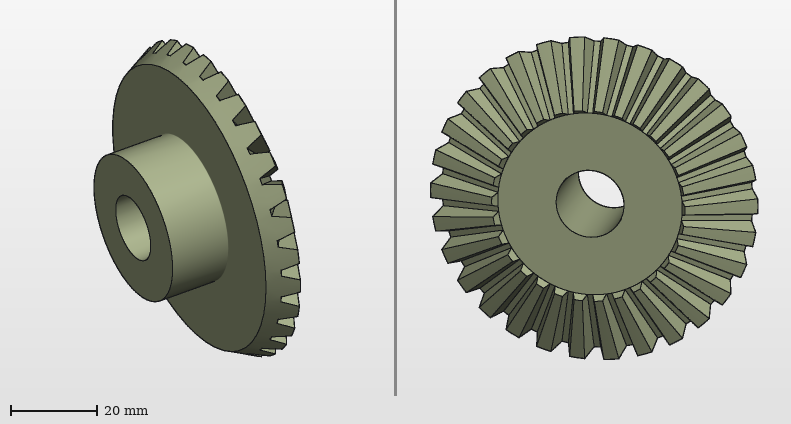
import cadquery as cq

tooth_count = 30
back_slope = 0.5

tip_radius = 38.65
tip_height = 7.2
root_height = 3.25
gap_floor_width = 1.55
gap_mouth_width = 4.55

small_tip_radius = 22.8
small_tip_height = 14.45
small_root_height = 12.4
small_gap_floor_width = 1.2

hub_radius = 18.0
hub_length = 15.1
hub_fillet = 0.15
bore_diameter = 16.0

gap_overrun = 0.2
gap_overshoot = 0.3

back_radius = tip_radius - back_slope * tip_height
root_radius = tip_radius - back_slope * (tip_height - root_height)
small_root_radius = small_tip_radius - back_slope * (small_tip_height - small_root_height)

depth_ratio = (small_tip_height - small_root_height) / (tip_height - root_height)
small_gap_mouth_width = small_gap_floor_width + depth_ratio * (gap_mouth_width - gap_floor_width)
pitch_angle = 360 / tooth_count


def blend(start, end, share):
    """Value a given share of the way from start to end; shares beyond 0 to 1 extrapolate."""
    return start + share * (end - start)


def make_blank():
    """Revolved hub and disc without teeth; the inner face is flat at the small-end root height."""
    return (
        cq.Workplane("XY")
        .moveTo(0, -hub_length)
        .lineTo(hub_radius, -hub_length)
        .lineTo(hub_radius, -hub_fillet)
        .radiusArc((hub_radius + hub_fillet, 0), hub_fillet)
        .lineTo(back_radius, 0)
        .lineTo(tip_radius, tip_height)
        .lineTo(small_tip_radius, small_tip_height)
        .lineTo(small_root_radius, small_root_height)
        .lineTo(0, small_root_height)
        .close()
        .revolve(360, (0, 0, 0), (0, 1, 0))
    )


def gap_section(share):
    """Trapezoid across a tooth gap centred on +X, from the large end (0) to the small end (1)."""
    floor_radius = blend(root_radius, small_root_radius, share)
    floor_height = blend(root_height, small_root_height, share)
    floor_width = blend(gap_floor_width, small_gap_floor_width, share)
    tip_width = blend(gap_mouth_width, small_gap_mouth_width, share)

    mouth = 1 + gap_overshoot
    mouth_radius = blend(floor_radius, blend(tip_radius, small_tip_radius, share), mouth)
    mouth_height = blend(floor_height, blend(tip_height, small_tip_height, share), mouth)
    mouth_width = blend(floor_width, tip_width, mouth)
    return cq.Wire.makePolygon(
        [
            cq.Vector(floor_radius, floor_height, -floor_width / 2),
            cq.Vector(floor_radius, floor_height, floor_width / 2),
            cq.Vector(mouth_radius, mouth_height, mouth_width / 2),
            cq.Vector(mouth_radius, mouth_height, -mouth_width / 2),
        ],
        close=True,
    )


def cut_gaps(blank):
    """Cut the tapered tooth gaps, leaving a tooth centred on +X."""
    gap = cq.Solid.makeLoft([gap_section(-gap_overrun), gap_section(1 + gap_overrun)], True)
    for index in range(tooth_count):
        angle = (index + 0.5) * pitch_angle
        blank = blank.cut(cq.Workplane(gap.rotate(cq.Vector(0, 0, 0), cq.Vector(0, 1, 0), angle)))
    return blank


def cut_bore(gear):
    """Plain bore through the hub and the disc."""
    bore = (
        cq.Workplane("XZ", origin=(0, small_root_height, 0))
        .circle(bore_diameter / 2)
        .extrude(small_root_height + hub_length)
    )
    return gear.cut(bore)


result = cut_bore(cut_gaps(make_blank())).solids()